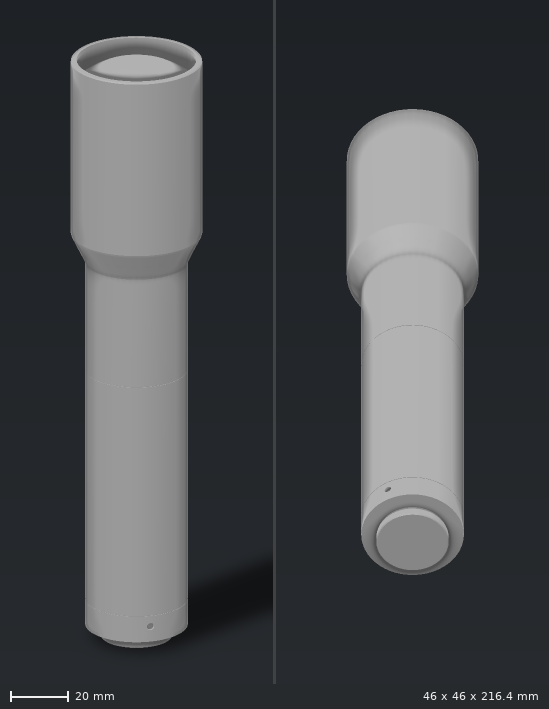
import cadquery as cq
import math

length = 216.4
head_diameter = 46.0
tube_diameter = 36.0
head_base_z = 151.5
taper_base_z = 140.7
taper_edge_step = 0.2
taper_edge_height = 0.6
rim_chamfer = 0.5

mount_height = 4.3
mount_diameter = 25.3
mount_relief_diameter = 24.7
mount_relief_height = 1.3
mount_chamfer = (mount_diameter - mount_relief_diameter) / 2

groove_width = 0.2
groove_depth = 0.2
groove_heights = (14.0, 100.2)

screw_diameter = 2.5
screw_floor_diameter = 33.5
screw_z = 10.0
screw_count = 3
first_screw_angle = 90.0

lens_diameter = 42.0
lens_edge_z = 208.2
lens_dome_height = 7.8
lens_edge_thickness = 4.3
lens_seat_z = lens_edge_z - lens_edge_thickness


def make_barrel():
    """Revolved outside shape, from the mount up to the head."""
    head_radius = head_diameter / 2
    tube_radius = tube_diameter / 2
    mount_radius = mount_diameter / 2
    relief_radius = mount_relief_diameter / 2
    relief_z = mount_height - mount_relief_height
    return (
        cq.Workplane("XZ")
        .moveTo(0, 0)
        .lineTo(mount_radius - mount_chamfer, 0)
        .lineTo(mount_radius, mount_chamfer)
        .lineTo(mount_radius, relief_z)
        .lineTo(relief_radius, relief_z)
        .lineTo(relief_radius, mount_height)
        .lineTo(tube_radius, mount_height)
        .lineTo(tube_radius, taper_base_z)
        .lineTo(tube_radius + taper_edge_step, taper_base_z + taper_edge_height)
        .lineTo(head_radius - taper_edge_step, head_base_z - taper_edge_height)
        .lineTo(head_radius, head_base_z)
        .lineTo(head_radius, length - rim_chamfer)
        .lineTo(head_radius - rim_chamfer, length)
        .lineTo(0, length)
        .close()
        .revolve(360, (0, 0), (0, 1))
    )


def make_lens_bore():
    """Cylindrical bore, open at the top, with a flat seat for the lens."""
    bore_depth = length - lens_seat_z
    return cq.Workplane("XY").workplane(offset=lens_seat_z).circle(lens_diameter / 2).extrude(bore_depth)


def make_joint_groove(center_z):
    """Thin ring that cuts a fine groove around the tube."""
    return (
        cq.Workplane("XY")
        .workplane(offset=center_z - groove_width / 2)
        .circle(tube_diameter / 2)
        .circle(tube_diameter / 2 - groove_depth)
        .extrude(groove_width)
    )


def make_screw_hole(angle):
    """Radial cylinder running outward from the hole floor at the given angle about Z."""
    direction = cq.Vector(math.cos(math.radians(angle)), math.sin(math.radians(angle)), 0)
    floor_center = direction * (screw_floor_diameter / 2) + cq.Vector(0, 0, screw_z)
    reach = tube_diameter - screw_floor_diameter
    return cq.Solid.makeCylinder(screw_diameter / 2, reach, floor_center, direction)


def make_housing():
    """Barrel with the lens bore, joint grooves and set-screw holes cut away."""
    housing = make_barrel().cut(make_lens_bore())
    for center_z in groove_heights:
        housing = housing.cut(make_joint_groove(center_z))
    for index in range(screw_count):
        housing = housing.cut(make_screw_hole(first_screw_angle + index * 360 / screw_count))
    return housing


def make_lens():
    """Flat-backed lens with a spherical dome on top."""
    radius = lens_diameter / 2
    dome_radius = (radius**2 + lens_dome_height**2) / (2 * lens_dome_height)
    apex_z = lens_edge_z + lens_dome_height
    mid_x = radius / 2
    mid_z = apex_z - dome_radius + math.sqrt(dome_radius**2 - mid_x**2)
    return (
        cq.Workplane("XZ")
        .moveTo(0, lens_seat_z)
        .lineTo(radius, lens_seat_z)
        .lineTo(radius, lens_edge_z)
        .threePointArc((mid_x, mid_z), (0, apex_z))
        .close()
        .revolve(360, (0, 0), (0, 1))
    )


housing = make_housing()
lens = make_lens()
result = cq.Compound.makeCompound([housing.val(), lens.val()])